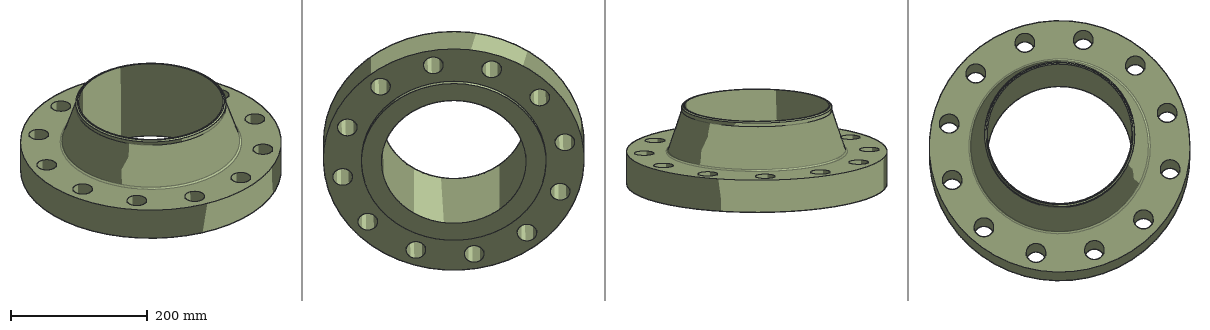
import cadquery as cq
import math

flange_radius = 190.5
total_height = 123.8
bore_radius = 105.5

plate_thickness = 48.5
face_height = 6.5
face_radius = 135.0

hub_base_radius = 130.3
neck_radius = 109.7
neck_length = 7.2
hub_fillet_radius = 3.0

land_width = 2.0
bevel_angle = 37.5

bolt_count = 12
bolt_circle_radius = 165.0
bolt_hole_diameter = 28.5

plate_top = face_height + plate_thickness
neck_bottom = total_height - neck_length
land_radius = bore_radius + land_width
bevel_height = (neck_radius - land_radius) * math.tan(math.radians(bevel_angle))


def make_flange_body():
    """Revolve the half section about Z, including the bore."""
    section = (
        cq.Workplane("XZ")
        .moveTo(bore_radius, 0)
        .lineTo(face_radius, 0)
        .lineTo(face_radius, face_height)
        .lineTo(flange_radius, face_height)
        .lineTo(flange_radius, plate_top)
        .lineTo(hub_base_radius, plate_top)
        .lineTo(neck_radius, neck_bottom)
        .lineTo(neck_radius, total_height - bevel_height)
        .lineTo(land_radius, total_height)
        .lineTo(bore_radius, total_height)
        .close()
    )
    return section.revolve(360, (0, 0, 0), (0, 1, 0))


def round_hub_base(body):
    """Fillet the circle where the hub meets the top of the plate."""
    margin = 0.5
    reach = hub_base_radius + margin
    base_circle = cq.selectors.BoxSelector(
        (-reach, -reach, plate_top - margin),
        (reach, reach, plate_top + margin),
        boundingbox=True,
    )
    return body.edges(base_circle).fillet(hub_fillet_radius)


def make_bolt_holes():
    """Through cutters evenly spaced on the bolt circle, the first on +X."""
    return (
        cq.Workplane("XY")
        .polarArray(bolt_circle_radius, 0, 360, bolt_count)
        .circle(bolt_hole_diameter / 2)
        .extrude(plate_top)
    )


result = round_hub_base(make_flange_body()).cut(make_bolt_holes())